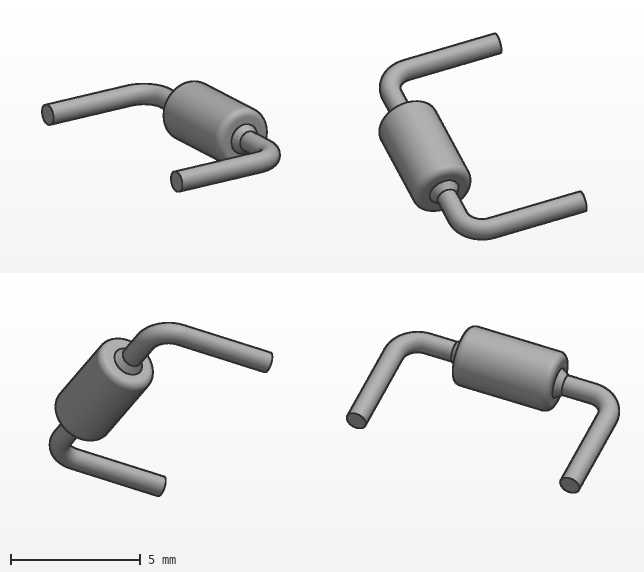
import cadquery as cq
import math

lead_span = 9.68
lead_diameter = 0.8
lead_reach = 4.78
bend_radius = 1.0

body_length = 4.01
body_diameter = 2.38
body_edge_radius = 0.29

cone_length = 0.3
cone_base_diameter = 1.2

lead_radius = lead_diameter / 2
lead_x = lead_span / 2 - lead_radius
straight_x = lead_x - bend_radius
body_radius = body_diameter / 2
body_end_x = body_length / 2
cone_tip_x = body_end_x + cone_length


def make_body():
    """Rounded cylinder with a cone at each end, revolved about X."""
    cone_base_radius = cone_base_diameter / 2
    shoulder_x = body_end_x - body_edge_radius
    shoulder_y = body_radius - body_edge_radius
    arc_offset = body_edge_radius * math.sqrt(0.5)
    arc_mid_x = shoulder_x + arc_offset
    arc_mid_y = shoulder_y + arc_offset
    return (
        cq.Workplane("XY")
        .moveTo(-cone_tip_x, 0)
        .lineTo(-cone_tip_x, lead_radius)
        .lineTo(-body_end_x, cone_base_radius)
        .lineTo(-body_end_x, shoulder_y)
        .threePointArc((-arc_mid_x, arc_mid_y), (-shoulder_x, body_radius))
        .lineTo(shoulder_x, body_radius)
        .threePointArc((arc_mid_x, arc_mid_y), (body_end_x, shoulder_y))
        .lineTo(body_end_x, cone_base_radius)
        .lineTo(cone_tip_x, lead_radius)
        .lineTo(cone_tip_x, 0)
        .close()
        .revolve(360, (0, 0, 0), (1, 0, 0))
    )


def make_leads():
    """One round wire along the body axis, bent toward -Y at both ends."""
    path = (
        cq.Workplane("XY")
        .moveTo(-lead_x, -lead_reach)
        .lineTo(-lead_x, -bend_radius)
        .tangentArcPoint((-straight_x, 0), relative=False)
        .lineTo(straight_x, 0)
        .tangentArcPoint((lead_x, -bend_radius), relative=False)
        .lineTo(lead_x, -lead_reach)
    )
    return (
        cq.Workplane("XZ", origin=(-lead_x, -lead_reach, 0))
        .circle(lead_radius)
        .sweep(path)
    )


result = make_body().union(make_leads())